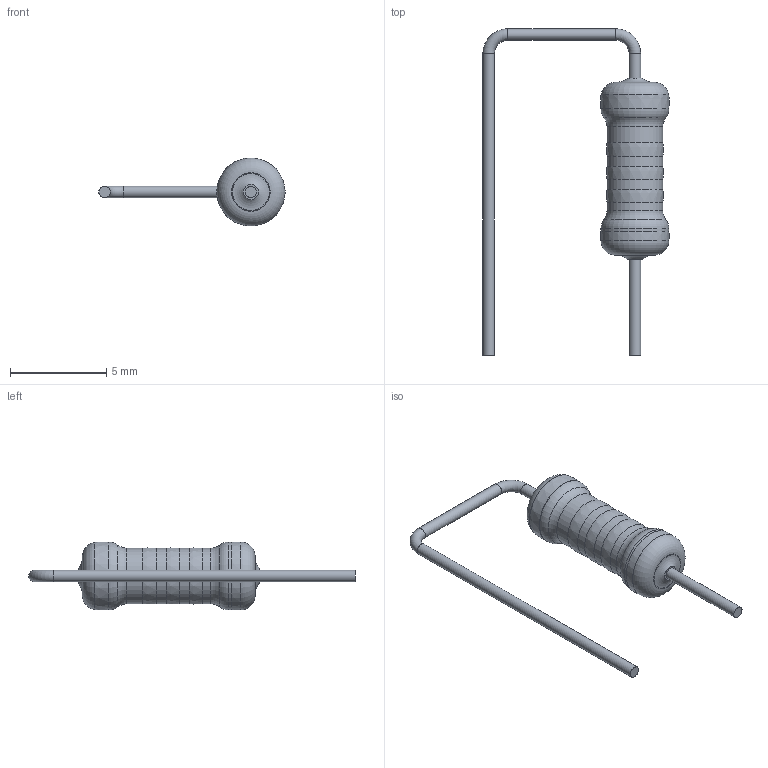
import cadquery as cq
import math


wire_radius = 0.3
lead_pitch = 7.62
overall_length = 17.0
bend_radius = 1.0

body_start = 5.0
body_end = 14.42
collar_length = 0.21
collar_tip_radius = 0.4
flare_radius_at_face = 0.96
end_face_radius = 1.0
barrel_radius = 1.45
cap_radius = 1.77
cap_arc_radius = cap_radius - end_face_radius
shoulder_inset = 1.59

barrel_crown_radius = 1.485
cap_crown_radius = 1.785
barrel_band_width = 0.68
barrel_band_pitch = 1.19
barrel_band_count = 2
barrel_band_first_middle = 8.31
wide_band_width = 0.73
wide_barrel_band_middle = 10.72
far_cap_band_middle = 13.225
far_cap_band_outer_radius = 1.762
near_cap_band_middle = 6.225
near_cap_band_width = 0.47

join_tolerance = 1e-6

shoulder_drop = (cap_radius - barrel_radius) / 2
shoulder_half_length = math.sqrt(cap_arc_radius**2 - (cap_arc_radius - shoulder_drop) ** 2)


def arc_middle(center, start, end, radius):
    """Point halfway along the minor arc from start to end about center."""
    dx = (start[0] + end[0]) / 2 - center[0]
    dy = (start[1] + end[1]) / 2 - center[1]
    scale = radius / math.hypot(dx, dy)
    return (center[0] + dx * scale, center[1] + dy * scale)


def half_profile_arcs(tip, direction):
    """Arcs (start, middle, end) from a collar tip to the barrel, as (radius, y)."""
    face = tip + direction * collar_length
    shoulder = tip + direction * shoulder_inset
    corner_end = face + direction * cap_arc_radius
    inflection = shoulder + direction * shoulder_half_length
    barrel = inflection + direction * shoulder_half_length

    flare_width = flare_radius_at_face - collar_tip_radius
    flare_radius = (flare_width**2 + collar_length**2) / (2 * collar_length)

    def arc(start, end, center, radius):
        return (start, arc_middle(center, start, end, radius), end)

    flare_end = (flare_radius_at_face, face)
    face_point = (end_face_radius, face)
    inflection_point = (cap_radius - shoulder_drop, inflection)
    return [
        arc((collar_tip_radius, tip), flare_end,
            (flare_radius_at_face, face - direction * flare_radius), flare_radius),
        arc(face_point, (cap_radius, corner_end),
            (end_face_radius, corner_end), cap_arc_radius),
        arc((cap_radius, shoulder), inflection_point,
            (cap_radius - cap_arc_radius, shoulder), cap_arc_radius),
        arc(inflection_point, (barrel_radius, barrel),
            (barrel_radius + cap_arc_radius, barrel), cap_arc_radius),
    ]


def revolve_about_y(profile):
    return profile.close().revolve(360, (0, 0, 0), (0, 1, 0))


def make_body():
    profile = cq.Workplane("XY").moveTo(0, body_start).lineTo(collar_tip_radius, body_start)
    near_arcs = half_profile_arcs(body_start, 1)
    far_arcs = half_profile_arcs(body_end, -1)
    path = near_arcs + [(end, middle, start) for start, middle, end in reversed(far_arcs)]
    position = (collar_tip_radius, body_start)
    for start, middle, end in path:
        if math.dist(position, start) > join_tolerance:
            profile = profile.lineTo(*start)
        profile = profile.threePointArc(middle, end)
        position = end
    return revolve_about_y(profile.lineTo(0, body_end))


def make_band(middle, width, near_radius, crown_radius, far_radius):
    """Crowned disc with its own radius at the near edge, middle and far edge."""
    near = middle - width / 2
    far = middle + width / 2
    profile = (
        cq.Workplane("XY").moveTo(0, near).lineTo(near_radius, near)
        .threePointArc((crown_radius, middle), (far_radius, far)).lineTo(0, far)
    )
    return revolve_about_y(profile)


def make_bands():
    bands = [
        make_band(barrel_band_first_middle + i * barrel_band_pitch, barrel_band_width,
                  barrel_radius, barrel_crown_radius, barrel_radius)
        for i in range(barrel_band_count)
    ]
    bands.append(make_band(wide_barrel_band_middle, wide_band_width,
                           barrel_radius, barrel_crown_radius, barrel_radius))
    bands.append(make_band(near_cap_band_middle, near_cap_band_width,
                           cap_radius, cap_crown_radius, cap_radius))

    bands.append(make_band(far_cap_band_middle, wide_band_width, cap_radius,
                           cap_crown_radius, far_cap_band_outer_radius))
    return bands


def make_wire():
    crossbar_y = overall_length - wire_radius
    bend_start_y = crossbar_y - bend_radius
    bend_offset = bend_radius * math.sqrt(0.5)
    path = (
        cq.Workplane("XY")
        .lineTo(0, bend_start_y)
        .threePointArc((bend_offset - bend_radius, bend_start_y + bend_offset), (-bend_radius, crossbar_y))
        .lineTo(bend_radius - lead_pitch, crossbar_y)
        .threePointArc((bend_radius - lead_pitch - bend_offset, bend_start_y + bend_offset),
                       (-lead_pitch, bend_start_y))
        .lineTo(-lead_pitch, 0)
    )
    return cq.Workplane("XZ").circle(wire_radius).sweep(path)


result = make_body()
for band in make_bands():
    result = result.union(band)
result = result.union(make_wire())